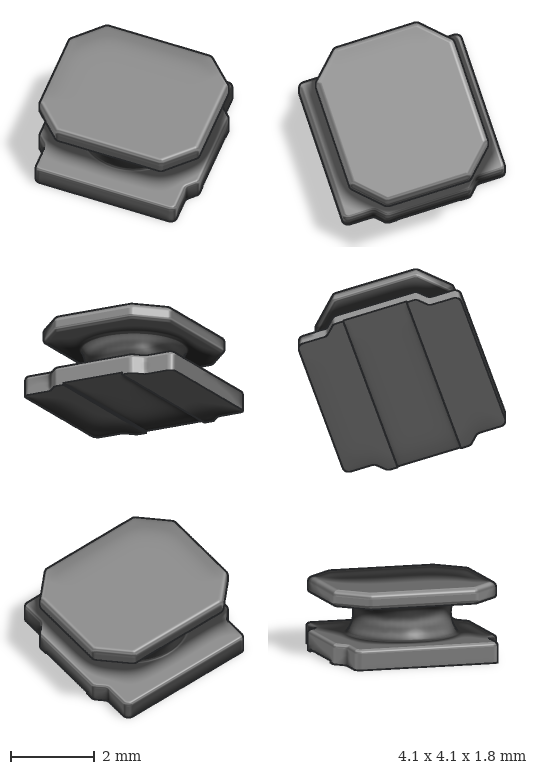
import cadquery as cq
import math

length = 4.1
height = 1.8

octagon_width = 3.5
corner_cut = 0.705

base_width = 3.6
base_height = 0.5
base_top_radius = 0.1
groove_width = 1.6
groove_depth = 0.05

flange_thickness = 0.4
flange_top_radius = 0.148
flange_bottom_radius = 0.1
flange_bottom = height - flange_thickness

waist_radius = 1.173
waist_level = 0.99
waist_arc_radius = 0.77
waist_blend_radius = 0.1

corner_radius = 0.15


def octagon(bottom, thickness):
    """Rectangular block with its four upright corners cut at 45 degrees."""
    block = cq.Workplane("XY").workplane(offset=bottom)
    block = block.rect(length, octagon_width).extrude(thickness)
    return block.edges("|Z").chamfer(corner_cut)


def make_base():
    """Plate with a side tab at each X end, the tabs following the octagonal outline."""
    plate = cq.Workplane("XY").rect(base_width, length).extrude(base_height)
    plate = plate.union(octagon(0, base_height))
    plate = plate.edges("|Z").fillet(corner_radius)
    plate = plate.faces(">Z").edges().fillet(base_top_radius)
    groove = cq.Workplane("XY").box(length, groove_width, groove_depth, centered=(True, True, False))
    return plate.cut(groove)


def make_flange():
    """Octagonal flange rounded on every edge."""
    flange = octagon(flange_bottom, flange_thickness)
    flange = flange.edges("|Z").fillet(corner_radius)
    flange = flange.faces(">Z").edges().fillet(flange_top_radius)
    return flange.faces("<Z").edges().fillet(flange_bottom_radius)


def waist_blend(rise):
    """Points of the blend from the main arc to an end face `rise` away from the waist level.

    The blend is tangent to both. Returns its joint with the arc, its middle point and
    its end on the face, each as (radius, distance from the waist level).
    """
    arc_center = waist_radius + waist_arc_radius
    centers_apart = waist_arc_radius - waist_blend_radius
    center_rise = rise - waist_blend_radius
    tilt = math.asin(center_rise / centers_apart)
    center = arc_center - centers_apart * math.cos(tilt)

    def blend_point(angle):
        return (
            center - waist_blend_radius * math.cos(angle),
            center_rise + waist_blend_radius * math.sin(angle),
        )

    face_angle = math.pi / 2
    return [blend_point(angle) for angle in (tilt, (tilt + face_angle) / 2, face_angle)]


def make_waist():
    """Concave spool whose arc runs tangentially into a blend at each end."""
    lower = [(radius, waist_level - rise) for radius, rise in waist_blend(waist_level - base_height)]
    upper = [(radius, waist_level + rise) for radius, rise in waist_blend(flange_bottom - waist_level)]
    lower_joint, lower_middle, lower_end = lower
    upper_joint, upper_middle, upper_end = upper
    profile = (
        cq.Workplane("XZ")
        .moveTo(0, base_height)
        .lineTo(*lower_end)
        .threePointArc(lower_middle, lower_joint)
        .threePointArc((waist_radius, waist_level), upper_joint)
        .threePointArc(upper_middle, upper_end)
        .lineTo(0, flange_bottom)
        .close()
    )
    return profile.revolve(360, (0, 0, 0), (0, 1, 0))


result = make_base().union(make_waist()).union(make_flange())